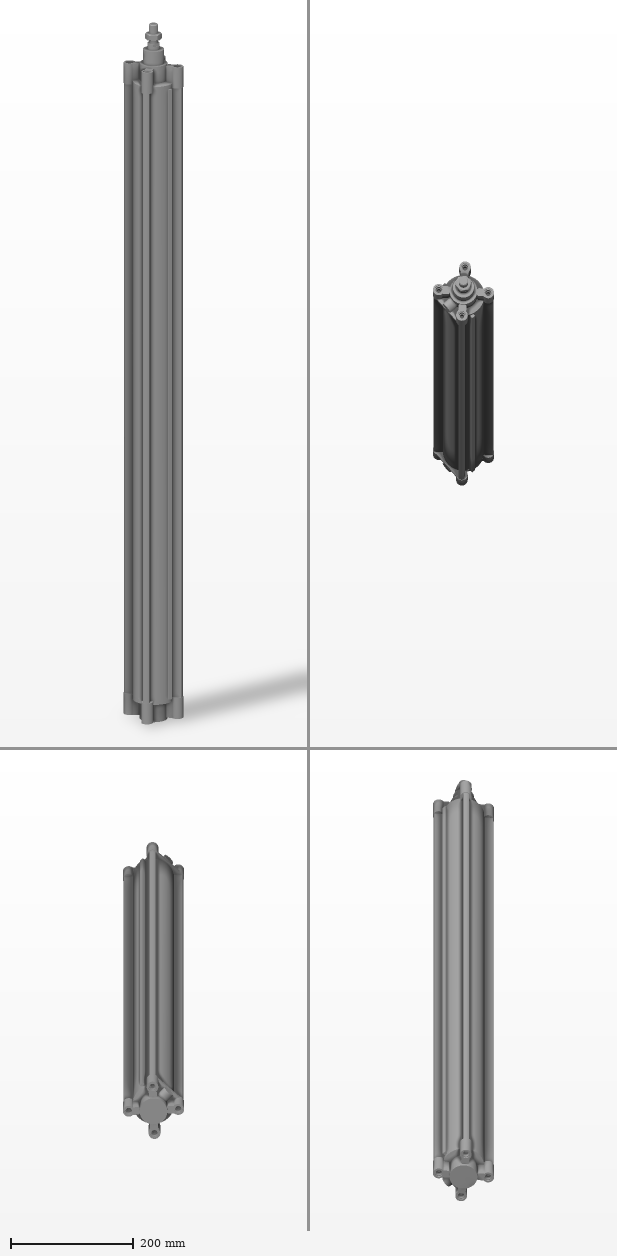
import cadquery as cq
import math

total_height = 1195.0
lower_pilot_height = 5.0
upper_pilot_height = 2.0
cap_height = 36.0
thread_length = 32.0
shoulder_above_cap = 37.0

lower_cap_face = lower_pilot_height
barrel_bottom = lower_cap_face + cap_height
shoulder_level = total_height - thread_length
upper_cap_face = shoulder_level - shoulder_above_cap
barrel_top = upper_cap_face - cap_height

barrel_diameter = 68.0
barrel_width = 75.0
barrel_corner_radius = 10.0
rib_width = 10.0
rail_offset = 11.0
rail_width = 6.0
rail_reach = 37.0
slot_width = 7.0
slot_floor = 29.0

overall_width = 76.0
post_diameter = 19.0
post_position = (overall_width - post_diameter) / 2
web_width = 13.0
pocket_width = 25.0
floor_height = 10.0
rim_height = 7.0
port_face = 37.0
port_boss_diameter = 19.0
pilot_diameter = 45.0
screw_steps = [(13.0, 2.0), (10.0, 10.0), (6.7, 18.0)]
collar_diameter = 35.0
collar_height = 26.0

rod_diameter = 20.0
thread_diameter = 15.0
thread_chamfer = 1.0
flats_width = 17.0
flats_bottom = 1158.0

nut_width = 24.0
nut_height = 11.0
nut_bottom = 1169.0
nut_chamfer_diameter = 23.0
nut_chamfer_height = 1.8


def cylinder(diameter, bottom, top):
    return cq.Workplane("XY").workplane(offset=bottom).circle(diameter / 2).extrude(top - bottom)


def corners(position):
    return [(x, y) for x in (-position, position) for y in (-position, position)]


def diagonal_cross(length, width, bottom, top):
    """Two bars crossing on the axis, each pointing at two opposite corners."""
    bar = cq.Workplane("XY").workplane(offset=bottom).rect(length, width).extrude(top - bottom)
    axis = ((0, 0, 0), (0, 0, 1))
    return bar.rotate(*axis, 45).union(bar.rotate(*axis, -45))


def make_barrel():
    length = barrel_top - barrel_bottom
    base = cq.Workplane("XY").workplane(offset=barrel_bottom)
    envelope = base.rect(barrel_width, barrel_width).extrude(length)
    envelope = envelope.edges("|Z").fillet(barrel_corner_radius)
    ribs = diagonal_cross(2 * barrel_width, rib_width, barrel_bottom, barrel_top).intersect(envelope)
    rails = base.center(0, rail_offset).rect(2 * rail_reach, rail_width).extrude(length)
    slot_offset = rail_offset + (rail_width + slot_width) / 2
    slots = base.center(0, slot_offset).rect(2 * rail_reach, slot_width).extrude(length)
    slots = slots.cut(base.center(0, slot_offset).rect(2 * slot_floor, slot_width).extrude(length))
    body = cylinder(barrel_diameter, barrel_bottom, barrel_top)
    return body.union(ribs).union(rails).cut(slots)


def make_cap_base():
    """Round base whose top slopes up from its rim to the pilot, squared off on the port side."""
    profile = [
        (0, 0),
        (barrel_diameter / 2, 0),
        (barrel_diameter / 2, rim_height),
        (pilot_diameter / 2, floor_height),
        (0, floor_height),
    ]
    disc = cq.Workplane("XZ").polyline(profile).close().revolve(360, (0, 0, 0), (0, 1, 0))
    port_side = cq.Workplane("XY").rect(2 * post_position, port_face, centered=(True, False))
    return disc.union(port_side.extrude(rim_height))


def make_cap_posts():
    """Corner posts and their webs, with a straight-sided pocket in the middle of each side."""
    base = cq.Workplane("XY")
    posts = base.pushPoints(corners(post_position)).circle(post_diameter / 2).extrude(cap_height)
    reach = 2 * math.hypot(post_position, post_position)
    posts = posts.union(diagonal_cross(reach, web_width, 0, cap_height))
    pockets = base.rect(pocket_width, overall_width).extrude(cap_height)
    pockets = pockets.union(base.rect(overall_width, pocket_width).extrude(cap_height))
    return posts.cut(pockets)


def make_cap(pilot_height):
    """End cap with its barrel side at Z = 0 and its mounting face at Z = cap_height."""
    cap = cylinder(pilot_diameter, 0, cap_height + pilot_height)
    cap = cap.union(make_cap_base()).union(make_cap_posts())
    boss = cq.Workplane("XZ").center(0, cap_height / 2).circle(port_boss_diameter / 2).extrude(-port_face)
    cap = cap.union(boss)
    for diameter, depth in screw_steps:
        face = cq.Workplane("XY").workplane(offset=cap_height - depth)
        cap = cap.cut(face.pushPoints(corners(post_position)).circle(diameter / 2).extrude(depth))
    return cap


def make_upper_cap():
    cap = make_cap(upper_pilot_height).translate((0, 0, barrel_top))
    collar = cylinder(collar_diameter, upper_cap_face, upper_cap_face + collar_height)
    return cap.union(collar).cut(cylinder(rod_diameter, barrel_top, total_height))


def make_lower_cap():
    return make_cap(lower_pilot_height).mirror("XY").translate((0, 0, barrel_bottom))


def make_rod():
    rod = cylinder(rod_diameter, barrel_top, shoulder_level)
    thread = cylinder(thread_diameter, shoulder_level, total_height)
    thread = thread.faces(">Z").chamfer(thread_chamfer)
    flats = cq.Workplane("XY").workplane(offset=flats_bottom).rect(flats_width, rod_diameter)
    flats = flats.extrude(shoulder_level - flats_bottom)
    slab = cylinder(rod_diameter, flats_bottom, shoulder_level)
    return rod.cut(slab.cut(flats)).union(thread)


def make_nut():
    corner_diameter = nut_width / math.cos(math.pi / 6)
    base = cq.Workplane("XY").workplane(offset=nut_bottom)
    nut = base.polygon(6, corner_diameter).extrude(nut_height)
    blank = cylinder(corner_diameter, nut_bottom, nut_bottom + nut_height)
    chamfer_width = (corner_diameter - nut_chamfer_diameter) / 2
    nut = nut.intersect(blank.faces("<Z or >Z").chamfer(nut_chamfer_height, chamfer_width))
    return nut.cut(cylinder(thread_diameter, nut_bottom, total_height))


barrel = make_barrel()
upper_cap = make_upper_cap()
lower_cap = make_lower_cap()
rod = make_rod()
nut = make_nut()

result = cq.Compound.makeCompound(
    [barrel.val(), upper_cap.val(), lower_cap.val(), rod.val(), nut.val()]
)